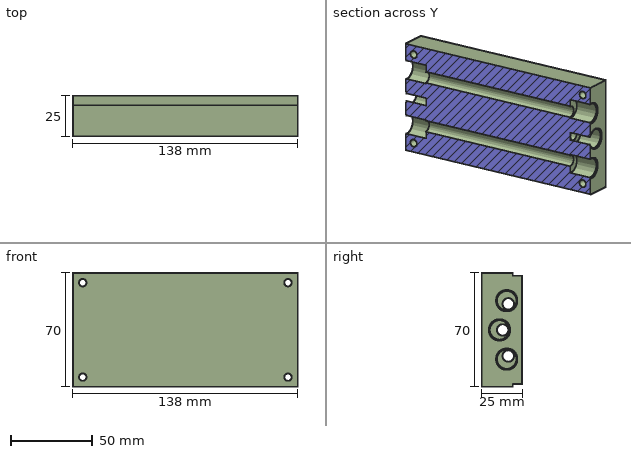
import cadquery as cq

LENGTH = 138.0
THICKNESS = 25.0
HEIGHT = 70.0
BACK_Y = THICKNESS / 2

REBATE_WIDTH = 5.8
REBATE_DEPTH = 1.7

MOUNT_HOLE_DIAMETER = 4.4
MOUNT_SPACING_X = 126.0
MOUNT_SPACING_Z = 58.0

PORT_DIAMETER = 11.9
PORT_DEPTH = 15.2
PORT_CHAMFER = 0.7
PASSAGE_DIAMETER = 6.9

OUTER_PORT_INSET = 9.5
OUTER_PORT_Z = 18.0
OUTER_PASSAGE_INSET = 8.5
OUTER_PASSAGE_Z = 16.0
MIDDLE_PORT_INSET = 14.0
MIDDLE_PASSAGE_INSET = 12.0


def make_block():
    """Rectangular block with its two back long edges rebated."""
    block = cq.Workplane("XY").box(LENGTH, THICKNESS, HEIGHT)
    rebate_y = BACK_Y - REBATE_WIDTH / 2
    rebate_z = HEIGHT / 2 - REBATE_DEPTH / 2
    for side in (-1, 1):
        rebate = cq.Workplane("XY").box(LENGTH, REBATE_WIDTH, REBATE_DEPTH)
        block = block.cut(rebate.translate((0, rebate_y, side * rebate_z)))
    return block


def make_mount_holes():
    """Four straight cylinders through the thickness."""
    return (
        cq.Workplane("XZ", origin=(0, BACK_Y, 0))
        .rarray(MOUNT_SPACING_X, MOUNT_SPACING_Z, 2, 2)
        .circle(MOUNT_HOLE_DIAMETER / 2)
        .extrude(THICKNESS)
    )


def make_port(y, z):
    """Flat-bottomed bore with a chamfered mouth, entering from the -X end."""
    radius = PORT_DIAMETER / 2
    start = -LENGTH / 2
    profile = [
        (start, 0),
        (start, radius + PORT_CHAMFER),
        (start + PORT_CHAMFER, radius),
        (start + PORT_DEPTH, radius),
        (start + PORT_DEPTH, 0),
    ]
    port = cq.Workplane("XY").polyline(profile).close().revolve(360, (0, 0, 0), (1, 0, 0))
    return port.translate((0, y, z))


def make_passage(y, z):
    """Straight cylinder along the whole length."""
    start = cq.Workplane("YZ", origin=(-LENGTH / 2, y, z))
    return start.circle(PASSAGE_DIAMETER / 2).extrude(LENGTH)


def cut_channel(body, port_inset, port_z, passage_inset, passage_z):
    """Cut a port into each end and the passage that joins them."""
    port = make_port(BACK_Y - port_inset, port_z)
    passage = make_passage(BACK_Y - passage_inset, passage_z)
    return body.cut(port).cut(port.mirror("YZ")).cut(passage)


result = make_block().cut(make_mount_holes())
for side in (-1, 1):
    result = cut_channel(
        result, OUTER_PORT_INSET, side * OUTER_PORT_Z, OUTER_PASSAGE_INSET, side * OUTER_PASSAGE_Z
    )
result = cut_channel(result, MIDDLE_PORT_INSET, 0, MIDDLE_PASSAGE_INSET, 0)